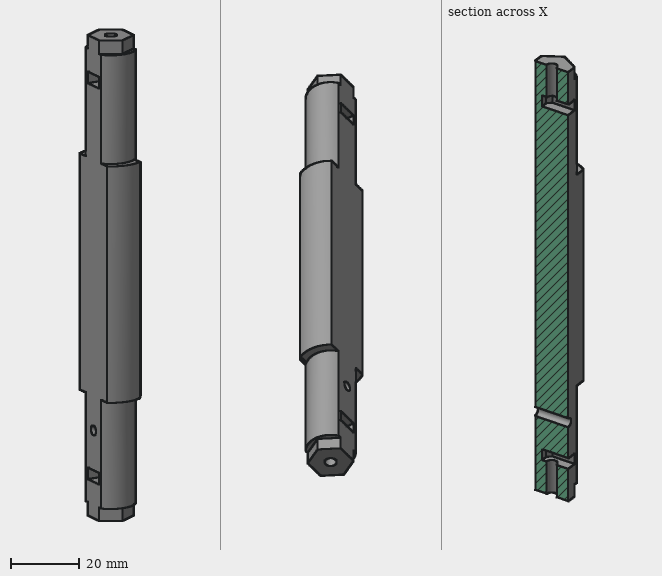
import cadquery as cq
import math

length = 147.0
thickness = 11.8

body_diameter = 20.0
body_length = 72.3
bevel_on_flat = 0.6
bevel_on_side = 1.2

shaft_diameter = 14.8
hex_length = 4.1
shaft_span = length - 2 * hex_length

axial_hole_diameter = 3.5
cross_hole_diameter = 3.0
cross_hole_z = -46.6
nut_width = 6.6
nut_bevel = 1.3
nut_height = 3.5
nut_z = 60.5
axial_hole_depth = length / 2 - nut_z + nut_height / 2


def flatted_cylinder(diameter, height):
    """Round bar along Z, cut by flats at both Y sides."""
    flats = cq.Workplane("XY").box(diameter, thickness, height)
    return cq.Workplane("XY").circle(diameter / 2).extrude(height / 2, both=True).intersect(flats)


def central_body():
    """Flatted body with its +Y flat bevelled along all four edges."""
    radius = body_diameter / 2
    half = thickness / 2
    flat_edge_x = math.sqrt(radius**2 - half**2)
    side_angle = math.asin(half / radius) - bevel_on_side / radius
    side_point = (radius * math.cos(side_angle), radius * math.sin(side_angle))
    bevel_start = (flat_edge_x - bevel_on_flat, half)
    body = flatted_cylinder(body_diameter, body_length)
    edge_wedge = (
        cq.Workplane("XY")
        .polyline([bevel_start, side_point, (radius, half)])
        .close()
        .extrude(body_length / 2, both=True)
    )
    end_z = body_length / 2
    end_wedge = (
        cq.Workplane("YZ")
        .polyline([(half, end_z - bevel_on_flat), (half - bevel_on_side, end_z), (half, end_z)])
        .close()
        .extrude(radius, both=True)
    )
    for wedge, mirror_plane in ((edge_wedge, "YZ"), (end_wedge, "XY")):
        body = body.cut(wedge).cut(wedge.mirror(mirror_plane))
    return body


def nut_pocket(z):
    """Pocket open to the -Y flat, reaching past the axis to a bevelled inner end."""
    half_width = nut_width / 2
    depth = thickness / 2 + half_width
    pocket = cq.Workplane("XY").box(nut_width, depth, nut_height).edges("|Z and >Y").chamfer(nut_bevel)
    return pocket.translate((0, half_width - depth / 2, z))


hex_corner_width = thickness / math.cos(math.pi / 6)
hex_bar = cq.Workplane("XY").polygon(6, hex_corner_width).extrude(length / 2, both=True)
shaft = flatted_cylinder(shaft_diameter, shaft_span)
result = central_body().union(shaft).union(hex_bar)

for end_face in (">Z", "<Z"):
    result = result.faces(end_face).workplane(origin=(0, 0, 0)).hole(axial_hole_diameter, axial_hole_depth)
for pocket_z in (nut_z, -nut_z):
    result = result.cut(nut_pocket(pocket_z))

cross_hole = (
    cq.Workplane("XZ")
    .center(0, cross_hole_z)
    .circle(cross_hole_diameter / 2)
    .extrude(thickness, both=True)
)
result = result.cut(cross_hole)